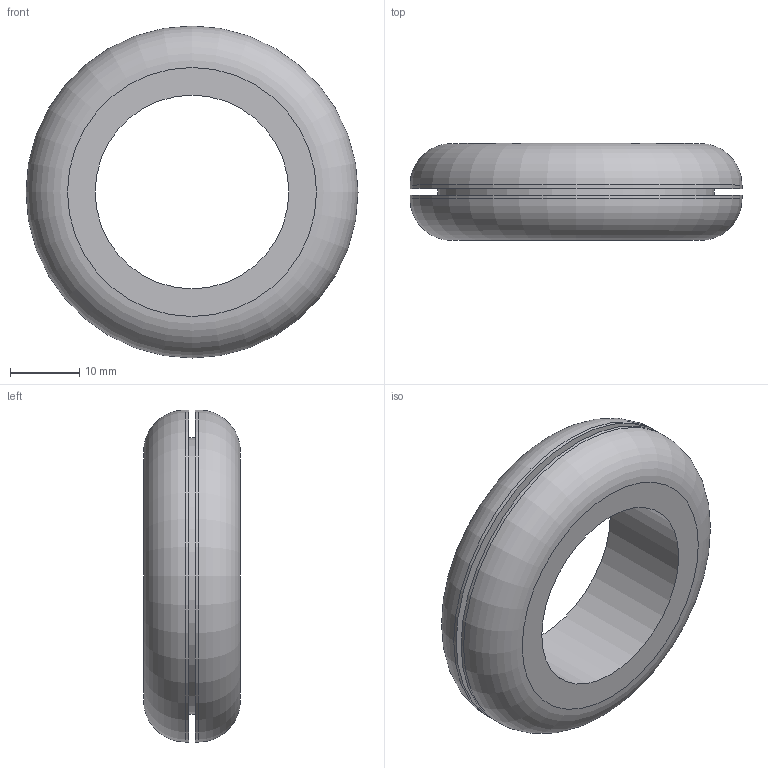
import cadquery as cq

outer_diameter = 48.0
bore_diameter = 28.0
width = 14.0
groove_diameter = 40.0
groove_width = 1.0
rim_radius = 6.0


def revolved_ring(inner_diameter, ring_outer_diameter, ring_width):
    """Ring of rectangular section about the Y axis, centred on the origin."""
    wall = (ring_outer_diameter - inner_diameter) / 2
    middle_radius = (ring_outer_diameter + inner_diameter) / 4
    section = cq.Workplane("XY").center(middle_radius, 0).rect(wall, ring_width)
    axis_start = (-middle_radius, 0)
    axis_end = (-middle_radius, 1)
    return section.revolve(360, axis_start, axis_end)


def rounded_body():
    """Full-width ring with both outer rims rounded."""
    body = revolved_ring(bore_diameter, outer_diameter, width)
    outer_rims = body.edges(cq.selectors.RadiusNthSelector(-1))
    return outer_rims.fillet(rim_radius)


def panel_groove():
    """Material removed for the panel edge, centred across the width."""
    return revolved_ring(groove_diameter, outer_diameter, groove_width)


result = rounded_body().cut(panel_groove())